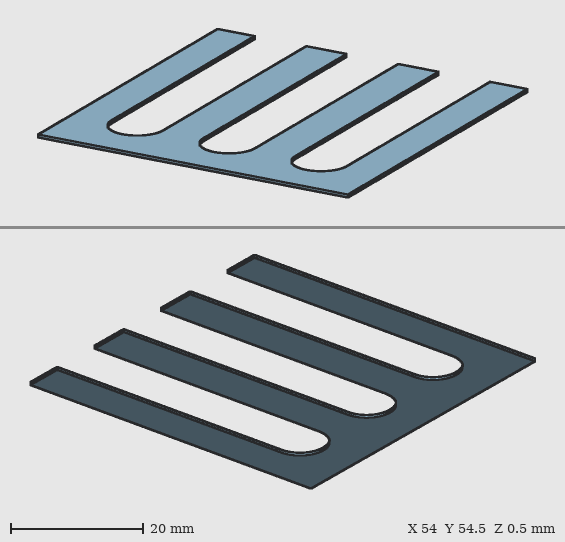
import cadquery as cq

width = 54.0
length = 54.5
thickness = 0.5

slot_count = 3
slot_width = 9.0
slot_pitch = 16.0
base_depth = 6.5

slot_radius = slot_width / 2
open_edge = length / 2
slot_bottom = -length / 2 + base_depth
arc_start = slot_bottom + slot_radius


def open_slot(center_x):
    """Cutter with straight sides and a semicircular closed end."""
    left = center_x - slot_radius
    right = center_x + slot_radius
    return (
        cq.Workplane("XY")
        .moveTo(left, open_edge)
        .lineTo(left, arc_start)
        .threePointArc((center_x, slot_bottom), (right, arc_start))
        .lineTo(right, open_edge)
        .close()
        .extrude(thickness)
    )


result = cq.Workplane("XY").box(width, length, thickness, centered=(True, True, False))
for index in range(slot_count):
    slot_x = (index - (slot_count - 1) / 2) * slot_pitch
    result = result.cut(open_slot(slot_x))